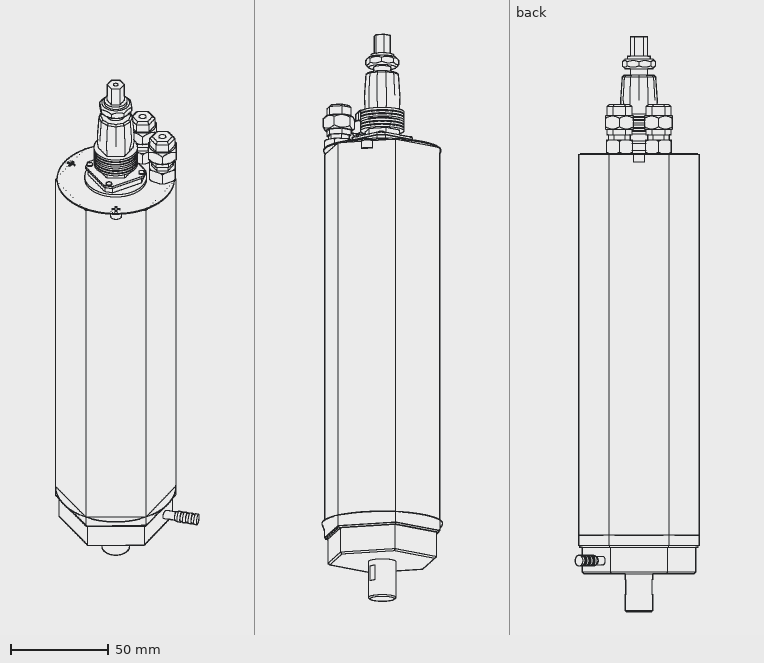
import cadquery as cq
import math

hexagon_sides = 6
housing_radius = 31.0
housing_bottom = 39.5
cap_joint = 209.0
housing_top = 235.0

plate_radius = 30.2
plate_top = 235.7
screw_count = 3
screw_circle = 26.3
screw_radius = 3.0
screw_depth = 4.5
screw_slot_length = 4.0
screw_slot_width = 1.0
screw_slot_depth = 1.0

flange_rim = 0.3
flange_bottom = 34.0
collar_radius = 30.5
nose_radius = 29.3
nose_top = 33.0
nose_bottom = 19.5
nose_chamfer = 1.0

shaft_radius = 7.0
shaft_chamfer = 0.75
shaft_joint = 9.0
flat_offset = 6.8
flat_top = 16.5

overall_reach = 32.8
barb_angle = 45
barb_height = 26.3
barb_radius = 2.8
barb_root_radius = 2.22
barb_start = 23.7
barb_pitch = 3.0
barb_count = 4

base_radius = 16.0
base_top = 237.2
socket_side = 24.8
socket_foot_side = 23.0
socket_corner = 3.0
socket_step = 240.7
socket_top = 242.0
socket_screw_offset = 9.8
socket_screw_radius = 1.5
socket_screw_height = 0.5
neck_radius = 9.2
fin_radius = 11.2
fin_groove_radius = 9.8
fin_thickness = 1.2
fin_gap = 0.45
fin_group_bottoms = (245.7, 251.3)
fins_per_group = 3
grip_bottom = 255.8
grip_waist = 263.2
grip_sides = 12
grip_waist_radius = 9.5
grip_top = 276.0
grip_top_radius = 8.5
grip_chamfer = 1.0
stem_radius = 4.5
clamp_radius = 8.5
clamp_bottom = 279.0
clamp_top = 284.2
clamp_sides = 8
clamp_chamfer = 1.5
ring_radius = 6.0
ring_top = 285.5
cable_radius = 4.5
cable_bore_radius = 1.2
cable_bore_depth = 3.0
overall_height = 295.7

fitting_x = 10.0
fitting_y = 22.0
foot_radius = 7.7
foot_top = 242.5
foot_chamfer = 0.5
throat_radius = 5.5
throat_top = 245.0
shoulder_radius = 6.5
shoulder_top = 247.8
nut_radius = 8.3
nut_top = 255.2
nut_chamfer = 1.5
tip_radius = 6.5
tip_top = 260.8
tip_chamfer = 1.2
fitting_bore_radius = 1.8
fitting_bore_depth = 6.0


def cylinder(radius, bottom, top):
    return cq.Workplane("XY").workplane(offset=bottom).circle(radius).extrude(top - bottom)


def prism(sides, radius, bottom, top):
    """Regular prism with a corner on the +X axis."""
    return cq.Workplane("XY").workplane(offset=bottom).polygon(sides, 2 * radius).extrude(top - bottom)


def hexagon(radius, bottom, top):
    return prism(hexagon_sides, radius, bottom, top)


def corner_points(sides, radius, height):
    angles = [2 * math.pi * i / sides for i in range(sides)]
    return [cq.Vector(radius * math.cos(a), radius * math.sin(a), height) for a in angles]


def polygon_wire(sides, radius, height):
    return cq.Wire.makePolygon(corner_points(sides, radius, height), close=True)


def ruled_loft(bottom_wire, top_wire):
    return cq.Workplane(cq.Solid.makeLoft([bottom_wire, top_wire], True))


def chamfered_nut(sides, radius, bottom, top, chamfer):
    """Nut whose corners are turned off at both ends."""
    blank = cylinder(radius, bottom, top).faces("<Z or >Z").chamfer(chamfer)
    return prism(sides, radius, bottom, top).intersect(blank)


def make_flange():
    """Round rim that blends down into the hexagonal outline of the housing."""
    rim_bottom = housing_bottom - flange_rim
    rim = cylinder(housing_radius, rim_bottom, housing_bottom)
    up = cq.Vector(0, 0, 1)
    center = cq.Vector(0, 0, rim_bottom)
    step = 360 / hexagon_sides
    arcs = [
        cq.Edge.makeCircle(housing_radius, center, up, step * i, step * (i + 1))
        for i in range(hexagon_sides)
    ]
    rim_wire = cq.Wire.assembleEdges(arcs)
    blend = ruled_loft(polygon_wire(hexagon_sides, housing_radius, flange_bottom), rim_wire)
    collar = hexagon(collar_radius, nose_top, flange_bottom)
    return rim.union(blend).union(collar)


def make_nose():
    return hexagon(nose_radius, nose_bottom, nose_top).faces("<Z").edges().chamfer(nose_chamfer)


def make_shaft():
    """Output shaft with a shallow flat on its -X and +X sides."""
    tip = cylinder(shaft_radius, 0, shaft_joint).faces("<Z").chamfer(shaft_chamfer)
    shank = cylinder(shaft_radius, shaft_joint, nose_bottom)
    flat_cut = (
        cq.Workplane("XY")
        .workplane(offset=shaft_joint)
        .pushPoints([(-flat_offset - shaft_radius / 2, 0), (flat_offset + shaft_radius / 2, 0)])
        .rect(shaft_radius, 2 * shaft_radius)
        .extrude(flat_top - shaft_joint)
    )
    return tip.union(shank.cut(flat_cut), clean=False)


def make_hose_barb():
    """Ribbed spigot, turned about its own axis and then swung to its direction."""
    direction = math.radians(barb_angle)
    barb_end = (overall_reach - barb_radius * math.sin(direction)) / math.cos(direction)
    profile = cq.Workplane("XZ").moveTo(barb_start, 0).lineTo(barb_start, barb_root_radius)
    for i in reversed(range(barb_count)):
        rib_end = barb_end - i * barb_pitch
        profile = profile.lineTo(rib_end - barb_pitch, barb_root_radius)
        profile = profile.lineTo(rib_end - barb_pitch / 2, barb_radius).lineTo(rib_end, barb_radius)
    spigot = profile.lineTo(barb_end, 0).close().revolve(360, (0, 0, 0), (1, 0, 0))
    return spigot.translate((0, 0, barb_height)).rotate((0, 0, 0), (0, 0, 1), barb_angle)


def make_cover():
    """Thin plate held by three screws that show below its edge."""
    cover = cylinder(plate_radius, housing_top, plate_top)
    places = cq.Workplane("XY").workplane(offset=plate_top).polarArray(screw_circle, 90, 360, screw_count)
    screws = places.circle(screw_radius).extrude(-screw_depth)
    slots = places.rect(screw_slot_length, screw_slot_width).extrude(-screw_slot_depth)
    cross_slots = places.rect(screw_slot_width, screw_slot_length).extrude(-screw_slot_depth)
    return cover.union(screws, clean=False).cut(slots).cut(cross_slots)


def make_socket_tier(side, bottom, top):
    """Square plate with its four upright corners cut off."""
    tier = cq.Workplane("XY").workplane(offset=bottom).rect(side, side).extrude(top - bottom)
    return tier.edges("|Z").chamfer(socket_corner)


def neck_wire(height):
    """Hexagon with an extra point halfway along each side, to pair with twelve corners."""
    points = []
    corners = corner_points(hexagon_sides, neck_radius, height)
    for corner, following in zip(corners, corners[1:] + corners[:1]):
        points += [corner, (corner + following) * 0.5]
    return cq.Wire.makePolygon(points, close=True)


def make_grip():
    """Grip that opens from the hexagonal neck to twelve sides, then tapers towards its top."""
    lower = ruled_loft(
        neck_wire(grip_bottom), polygon_wire(grip_sides, grip_waist_radius, grip_waist)
    )
    upper = ruled_loft(
        polygon_wire(grip_sides, grip_waist_radius, grip_waist),
        polygon_wire(grip_sides, grip_top_radius, grip_top),
    )
    return lower.union(upper.faces(">Z").chamfer(grip_chamfer))


def make_connector():
    base = cylinder(base_radius, plate_top, base_top)
    socket_foot = make_socket_tier(socket_foot_side, base_top, socket_step)
    socket = socket_foot.union(make_socket_tier(socket_side, socket_step, socket_top))
    socket_screws = (
        cq.Workplane("XY")
        .workplane(offset=socket_top)
        .rect(2 * socket_screw_offset, 2 * socket_screw_offset, forConstruction=True)
        .vertices()
        .circle(socket_screw_radius)
        .extrude(socket_screw_height)
    )
    connector = base.union(socket).union(socket_screws)
    connector = connector.union(hexagon(neck_radius, socket_top, grip_bottom))

    group_height = fins_per_group * fin_thickness + (fins_per_group - 1) * fin_gap
    for group_bottom in fin_group_bottoms:
        core = cylinder(fin_groove_radius, group_bottom, group_bottom + group_height)
        connector = connector.union(core)
        for i in range(fins_per_group):
            fin_bottom = group_bottom + i * (fin_thickness + fin_gap)
            connector = connector.union(cylinder(fin_radius, fin_bottom, fin_bottom + fin_thickness))

    stem = cylinder(stem_radius, grip_top, clamp_bottom)
    clamp = chamfered_nut(clamp_sides, clamp_radius, clamp_bottom, clamp_top, clamp_chamfer)
    ring = cylinder(ring_radius, clamp_top, ring_top)
    cable = hexagon(cable_radius, ring_top, overall_height)
    bore = cylinder(cable_bore_radius, overall_height - cable_bore_depth, overall_height)
    return connector.union(make_grip()).union(stem).union(clamp).union(ring).union(cable.cut(bore))


def make_fitting():
    """Hose fitting standing on the cover; its two nuts are turned so their corners face -Y and +Y."""
    nuts = chamfered_nut(hexagon_sides, foot_radius, plate_top, foot_top, foot_chamfer)
    nuts = nuts.union(chamfered_nut(hexagon_sides, nut_radius, shoulder_top, nut_top, nut_chamfer))
    fitting = nuts.rotate((0, 0, 0), (0, 0, 1), 90)
    fitting = fitting.union(hexagon(throat_radius, foot_top, throat_top))
    fitting = fitting.union(hexagon(shoulder_radius, throat_top, shoulder_top))
    fitting = fitting.union(hexagon(tip_radius, nut_top, tip_top).faces(">Z").chamfer(tip_chamfer))
    return fitting.cut(cylinder(fitting_bore_radius, tip_top - fitting_bore_depth, tip_top))


housing = hexagon(housing_radius, housing_bottom, cap_joint)
cap = hexagon(housing_radius, cap_joint, housing_top)

upper = make_cover().union(make_connector())
for side in (-1, 1):
    upper = upper.union(make_fitting().translate((side * fitting_x, fitting_y, 0)))
lower = make_flange().union(make_nose()).union(make_hose_barb()).union(make_shaft(), clean=False)

result = lower.union(housing, clean=False).union(cap, clean=False).union(upper, clean=False)